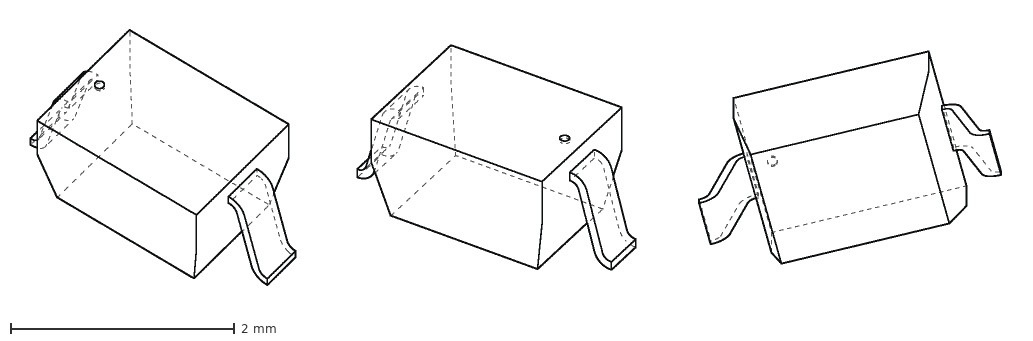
import cadquery as cq
import math

overall_length = 2.69
body_length = 1.808
body_width = 1.35
body_height = 1.09
upper_height = 0.468
bottom_inset = 0.126

lead_width = 0.415
lead_thickness = 0.09
lead_top = 0.907
lead_inner_radius = 0.09
lead_bend_angle = 75.0

marker_diameter = 0.09
marker_depth = 0.027
marker_edge_distance = 0.183

lower_height = body_height - upper_height
marker_x = -body_length / 2 + marker_edge_distance
marker_floor = body_height - marker_depth


def make_marker():
    """Pin-one disc, flush with the top of the housing."""
    return (
        cq.Workplane("XY", origin=(marker_x, 0, marker_floor))
        .circle(marker_diameter / 2)
        .extrude(marker_depth)
    )


def make_housing(marker):
    """Straight upper block over a block tapering downwards, with a recess for the marker."""
    upper = (
        cq.Workplane("XY", origin=(0, 0, lower_height))
        .rect(body_length, body_width)
        .extrude(upper_height)
    )
    lower = (
        cq.Workplane("XY")
        .rect(body_length - 2 * bottom_inset, body_width - 2 * bottom_inset)
        .workplane(offset=lower_height)
        .rect(body_length, body_width)
        .loft(ruled=True)
    )
    return upper.union(lower).cut(marker)


def make_lead():
    """Gull-wing strip leaving the +X face of the housing."""
    angle = math.radians(lead_bend_angle)
    bend_radius = lead_inner_radius + lead_thickness / 2
    reach = (overall_length - body_length) / 2
    drop = lead_top - lead_thickness

    bend_reach = bend_radius * math.sin(angle)
    bend_drop = bend_radius * (1 - math.cos(angle))
    slope_drop = drop - 2 * bend_drop
    slope_reach = slope_drop / math.tan(angle)
    flat = (reach - 2 * bend_reach - slope_reach) / 2

    start_x = body_length / 2
    start_z = lead_top - lead_thickness / 2
    end_x = overall_length / 2
    end_z = lead_thickness / 2
    half_bend_x = bend_radius * math.sin(angle / 2)
    half_bend_z = bend_radius * (1 - math.cos(angle / 2))
    upper_bend_x = start_x + flat
    lower_bend_x = end_x - flat
    path = (
        cq.Workplane("XZ")
        .moveTo(start_x, start_z)
        .lineTo(upper_bend_x, start_z)
        .threePointArc(
            (upper_bend_x + half_bend_x, start_z - half_bend_z),
            (upper_bend_x + bend_reach, start_z - bend_drop),
        )
        .lineTo(lower_bend_x - bend_reach, end_z + bend_drop)
        .threePointArc(
            (lower_bend_x - half_bend_x, end_z + half_bend_z),
            (lower_bend_x, end_z),
        )
        .lineTo(end_x, end_z)
    )
    return (
        cq.Workplane("YZ", origin=(start_x, 0, start_z))
        .rect(lead_width, lead_thickness)
        .sweep(path)
    )


marker = make_marker()
housing = make_housing(marker)
leads = []
for turn in (0, 180):
    leads.append(make_lead().rotate((0, 0, 0), (0, 0, 1), turn).val())

result = cq.Compound.makeCompound([housing.val(), marker.val(), *leads])